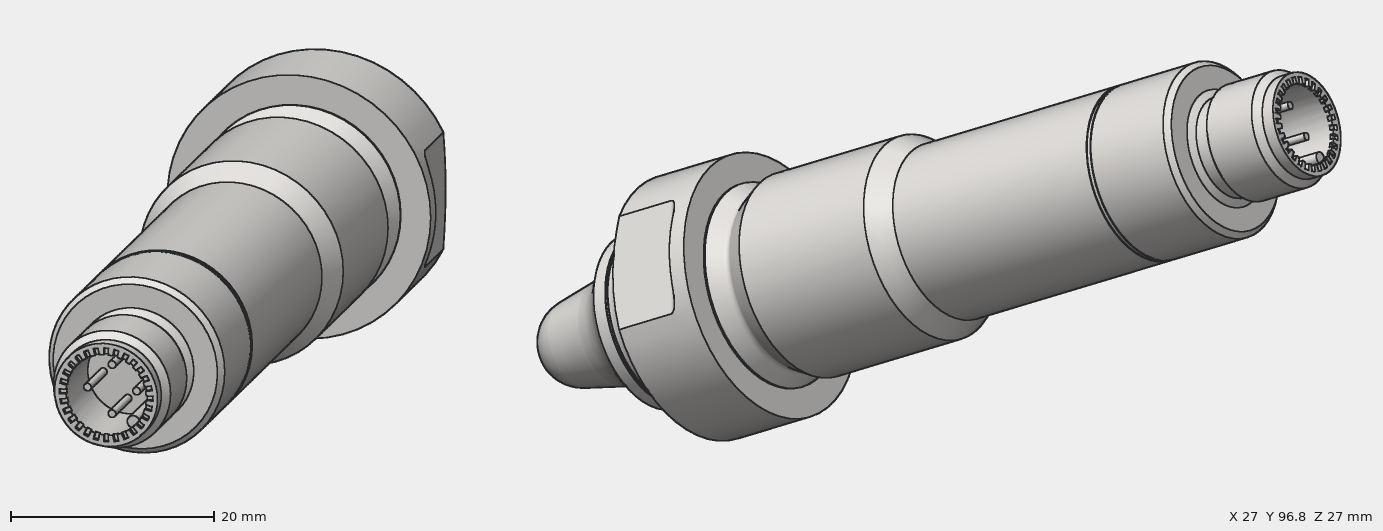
import cadquery as cq
import math

LENGTH = 96.8

RIM_DIAMETER = 10.6
RIM_RADIUS = RIM_DIAMETER / 2
THREAD_RADIUS = 6.0
NECK_DIAMETER = 10.4
NECK_RADIUS = NECK_DIAMETER / 2
RIM_TOP = 1.4
THREAD_BOTTOM = 2.1
THREAD_TOP = 7.8
NECK_BOTTOM = 8.4
NECK_TOP = 9.9

BARREL_RADIUS = 9.0
BARREL_BOTTOM = 10.4
BARREL_CHAMFER = 0.6
BODY_RADIUS = 10.5
BODY_CONE_BOTTOM = 45.4
BODY_BOTTOM = 47.9
BODY_TOP = 63.8
SEAM_GROOVE_BOTTOM = 20.2
SEAM_GROOVE_WIDTH = 0.5

UNDERCUT_RADIUS = 9.4
UNDERCUT_BOTTOM = 65.85
UNDERCUT_TOP = 66.7
UNDERCUT_SAGITTA = 0.15
UNDERCUT_LAND = 0.2

FLANGE_DIAMETER = 27.0
FLANGE_RADIUS = FLANGE_DIAMETER / 2
FLANGE_BOTTOM = 68.4
FLANGE_TOP = 77.8
FLAT_OFFSET = 12.1
FLAT_BOTTOM = 70.2
FLAT_FILLET = 1.0

FLARE_ANGLE = 60.0
FLARE_FILLET = 2.3
COLLAR_GROOVE_BOTTOM = 81.8
COLLAR_TOP = 83.6
COLLAR_GROOVE_WIDTH = 0.3
GROOVE_DEPTH = 0.1

SHOULDER_RADIUS = 7.2
SHOULDER_TOP = 85.3
NOSE_BASE_RADIUS = 5.4
NOSE_BASE_Y = 88.5
NOSE_TAPER_ANGLE = 10.0
DOME_RADIUS = 4.55

BORE_DIAMETER = 8.2
BORE_RADIUS = BORE_DIAMETER / 2
BORE_DEPTH = 7.7
KNURL_DIAMETER = 9.6
KNURL_RADIUS = KNURL_DIAMETER / 2
KNURL_DEPTH = 0.4
KNURL_COUNT = 28
KNURL_SLOT_WIDTH = 0.5
PIN_COUNT = 4
PIN_RADIUS = 0.4
PIN_OFFSET = 2.5
PIN_TIP_Y = 2.1
RIB_RADIUS = 0.63
RIB_OFFSET = 3.8
RIB_ANGLE = 45.0
RIB_TIP_Y = 0.5


def rod(radius, start, end):
    """Cylinder on the Y axis from Y = start to Y = end."""
    return cq.Workplane("XZ", origin=(0, start, 0)).circle(radius).extrude(start - end)


def turn(shape, angle):
    """Turn a shape about the Y axis."""
    return shape.rotate((0, 0, 0), (0, 1, 0), angle)


def dome_point(angle):
    """Outline point on the dome, with the angle measured up from its equator."""
    return (
        DOME_RADIUS * math.cos(math.radians(angle)),
        LENGTH - DOME_RADIUS + DOME_RADIUS * math.sin(math.radians(angle)),
    )


def turned_body():
    """Revolved outline, drawn as (radius, Y) from the plug face to the nose tip."""
    undercut_middle = (UNDERCUT_RADIUS - UNDERCUT_SAGITTA, (UNDERCUT_BOTTOM + UNDERCUT_TOP) / 2)
    flare = math.radians(FLARE_ANGLE)
    cone_radius = BARREL_RADIUS + FLARE_FILLET * (1 - math.cos(flare))
    cone_top = FLANGE_TOP + (FLANGE_RADIUS - cone_radius) / math.tan(flare)
    fillet_top = cone_top + FLARE_FILLET * math.sin(flare)
    return (
        cq.Workplane("XY")
        .lineTo(RIM_RADIUS, 0)
        .lineTo(RIM_RADIUS, RIM_TOP)
        .lineTo(THREAD_RADIUS, THREAD_BOTTOM)
        .lineTo(THREAD_RADIUS, THREAD_TOP)
        .lineTo(NECK_RADIUS, NECK_BOTTOM)
        .lineTo(NECK_RADIUS, NECK_TOP)
        .lineTo(THREAD_RADIUS, BARREL_BOTTOM)
        .lineTo(BARREL_RADIUS - BARREL_CHAMFER, BARREL_BOTTOM)
        .lineTo(BARREL_RADIUS, BARREL_BOTTOM + BARREL_CHAMFER)
        .lineTo(BARREL_RADIUS, BODY_CONE_BOTTOM)
        .lineTo(BODY_RADIUS, BODY_BOTTOM)
        .lineTo(BODY_RADIUS, BODY_TOP)
        .lineTo(UNDERCUT_RADIUS, UNDERCUT_BOTTOM)
        .threePointArc(undercut_middle, (UNDERCUT_RADIUS, UNDERCUT_TOP))
        .lineTo(BODY_RADIUS, FLANGE_BOTTOM - UNDERCUT_LAND)
        .lineTo(BODY_RADIUS, FLANGE_BOTTOM)
        .lineTo(FLANGE_RADIUS, FLANGE_BOTTOM)
        .lineTo(FLANGE_RADIUS, FLANGE_TOP)
        .lineTo(cone_radius, cone_top)
        .tangentArcPoint((BARREL_RADIUS, fillet_top), relative=False)
        .lineTo(BARREL_RADIUS, COLLAR_TOP)
        .lineTo(SHOULDER_RADIUS, SHOULDER_TOP)
        .tangentArcPoint((NOSE_BASE_RADIUS, NOSE_BASE_Y), relative=False)
        .lineTo(*dome_point(NOSE_TAPER_ANGLE))
        .threePointArc(dome_point((NOSE_TAPER_ANGLE + 90) / 2), (0, LENGTH))
        .close()
        .revolve(360, (0, 0, 0), (0, 1, 0))
    )


def ring_groove(bottom, width):
    """Cutter for a shallow groove around the barrel or the collar."""
    top = bottom + width
    return rod(FLANGE_RADIUS, bottom, top).cut(rod(BARREL_RADIUS - GROOVE_DEPTH, bottom, top))


def wrench_flat():
    """Cutter for the flat on the +X side, rounded at its lower inner edge."""
    return (
        cq.Workplane("XY", origin=(FLAT_OFFSET, FLAT_BOTTOM, 0))
        .box(FLANGE_RADIUS, LENGTH - FLAT_BOTTOM, FLANGE_DIAMETER, centered=(False, False, True))
        .edges("<X and <Y")
        .fillet(FLAT_FILLET)
    )


def socket():
    """Cutter for the knurled bore; the pins and the coding rib are left standing."""
    cutter = rod(BORE_RADIUS, 0, BORE_DEPTH)
    slot = cq.Workplane("XY").box(KNURL_RADIUS, KNURL_DEPTH, KNURL_SLOT_WIDTH, centered=(False, False, True))
    for i in range(KNURL_COUNT):
        cutter = cutter.union(turn(slot, i * 360 / KNURL_COUNT))
    pin = rod(PIN_RADIUS, PIN_TIP_Y, BORE_DEPTH).translate((PIN_OFFSET, 0, 0))
    for i in range(PIN_COUNT):
        cutter = cutter.cut(turn(pin, i * 360 / PIN_COUNT))
    rib = rod(RIB_RADIUS, RIB_TIP_Y, BORE_DEPTH).translate((RIB_OFFSET, 0, 0))
    return cutter.cut(turn(rib, RIB_ANGLE))


flat = wrench_flat()
result = (
    turned_body()
    .cut(flat)
    .cut(flat.mirror("YZ"))
    .cut(ring_groove(SEAM_GROOVE_BOTTOM, SEAM_GROOVE_WIDTH))
    .cut(ring_groove(COLLAR_GROOVE_BOTTOM, COLLAR_GROOVE_WIDTH))
    .cut(socket())
)